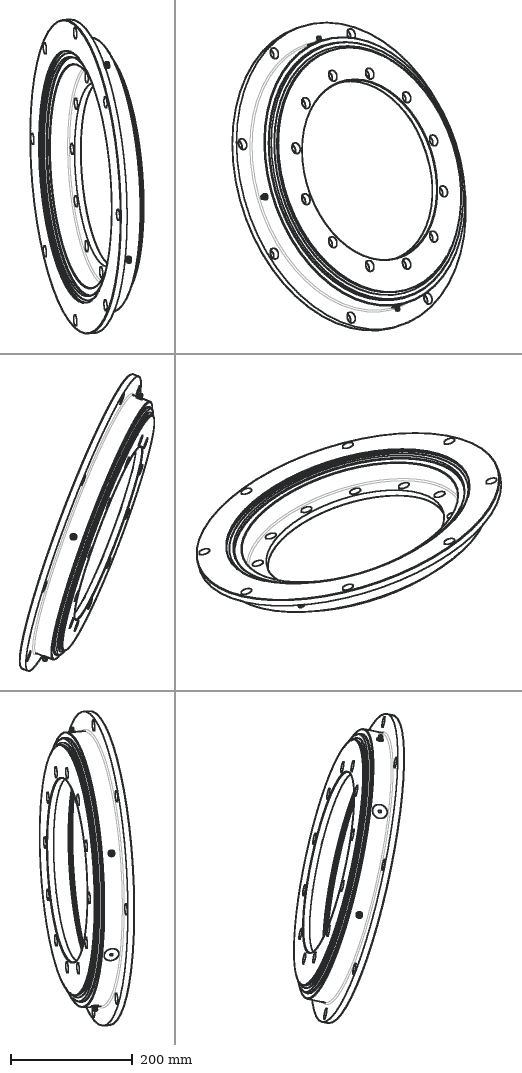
import cadquery as cq
import math

height = 56.0
flange_thickness = 11.5
body_end = height - flange_thickness
bend_radius = 2.5
edge_chamfer = 1.0
rim_chamfer = 0.5

gap_radius = 207.0
running_gap = 1.0

outer_flange_radius = 259.0
outer_body_radius = 227.0
outer_bolt_radius = 245.0
outer_bolt_count = 8

inner_bore_radius = 152.0
inner_body_radius = 184.5
inner_bolt_radius = 166.5
inner_bolt_count = 12

bolt_hole_diameter = 18.0

neck_depth = 2.0
rim_length = 3.0

seal_height = 5.0
seal_lip_height = 6.0
seal_reach = 11.0
seal_lip_reach = 3.0
seal_corner_width = 1.5
seal_corner_drop = 3.0

fitting_height = 28.0
plug_angle = 202.5
plug_diameter = 25.0
plug_length = 15.5
screw_diameter = 4.5
screw_length = 8.0

first_nipple_angle = 67.5
nipple_count = 4
nipple_shank_length = 8.0
nipple_neck_diameter = 4.5
nipple_base_diameter = 10.5
nipple_base_height = 1.5
nipple_seat_depth = 0.5
nipple_head_diameter = 6.5
nipple_head_start = 4.0
nipple_head_length = 4.5
nipple_tip_taper = 1.5


def revolve_about_y(outline):
    """Revolve a closed outline, drawn with X as radius, about the Y axis."""
    solid = cq.Solid.revolve(outline, [], 360, cq.Vector(0, 0, 0), cq.Vector(0, 1, 0))
    return cq.Workplane(solid)


def turn_over(outline):
    """Turn an outline half a turn about the middle of the running gap."""
    pivot = (gap_radius, height / 2, 0)
    pivot_end = (gap_radius, height / 2, 1)
    return outline.rotate(pivot, pivot_end, 180)


def turn_over_radius(radius):
    return 2 * gap_radius - radius


def ring_outline(flange_radius, body_radius):
    """Outline of a ring with an outward flange at the front and the running gap on its inner side."""
    bore = gap_radius + running_gap / 2
    neck = gap_radius + neck_depth
    return (
        cq.Workplane("XY")
        .moveTo(bore + rim_chamfer, 0)
        .lineTo(flange_radius - edge_chamfer, 0)
        .lineTo(flange_radius, edge_chamfer)
        .lineTo(flange_radius, flange_thickness)
        .lineTo(body_radius + bend_radius, flange_thickness)
        .radiusArc((body_radius, flange_thickness + bend_radius), bend_radius)
        .lineTo(body_radius, body_end - edge_chamfer)
        .lineTo(body_radius - edge_chamfer, body_end)
        .lineTo(bore, body_end)
        .lineTo(bore, flange_thickness)
        .lineTo(neck, flange_thickness)
        .lineTo(neck, rim_length + neck_depth)
        .lineTo(bore, rim_length)
        .lineTo(bore, rim_chamfer)
        .close()
        .val()
    )


def seal_outline():
    """Outline of the seal on the back of the outer ring, its lip touching the inner ring's neck."""
    neck = gap_radius - neck_depth
    lip_edge = gap_radius + seal_lip_reach
    outer_edge = gap_radius + seal_reach
    face = body_end + seal_height
    lip_face = body_end + seal_lip_height
    return (
        cq.Workplane("XY")
        .moveTo(neck, body_end)
        .lineTo(outer_edge, body_end)
        .lineTo(outer_edge, face - seal_corner_drop)
        .lineTo(outer_edge - seal_corner_width, face)
        .lineTo(lip_edge, face)
        .lineTo(lip_edge, lip_face)
        .lineTo(neck, lip_face)
        .close()
        .val()
    )


def bolt_holes(bolt_radius, count):
    return (
        cq.Workplane("XZ")
        .polarArray(bolt_radius, 0, 360, count)
        .circle(bolt_hole_diameter / 2)
        .extrude(-height)
    )


def radial_plane(angle, radius):
    """Plane at a radius from the ring axis, facing outward."""
    outward = cq.Vector(math.cos(math.radians(angle)), 0, math.sin(math.radians(angle)))
    origin = outward * radius + cq.Vector(0, fitting_height, 0)
    return cq.Workplane(cq.Plane(origin=origin, xDir=(0, 1, 0), normal=outward))


def flush_cylinder(angle, diameter, length):
    """Radial cylinder whose outer end follows the curved side of the outer ring."""
    cylinder = radial_plane(angle, outer_body_radius - length).circle(diameter / 2).extrude(2 * length)
    ring_envelope = cq.Workplane("XZ").circle(outer_body_radius).extrude(-height)
    return cylinder.intersect(ring_envelope)


def make_nipple(angle):
    """Shank and neck in one piece, with a flat base on the ring and a head with a tapered tip."""
    seat_radius = outer_body_radius - nipple_seat_depth
    neck = (
        radial_plane(angle, seat_radius - nipple_shank_length)
        .circle(nipple_neck_diameter / 2)
        .extrude(nipple_shank_length + nipple_head_start)
    )
    base = radial_plane(angle, seat_radius).circle(nipple_base_diameter / 2).extrude(nipple_base_height)
    head_plane = radial_plane(angle, seat_radius + nipple_head_start)
    head = (
        head_plane.circle(nipple_head_diameter / 2)
        .extrude(nipple_head_length)
        .faces(cq.selectors.DirectionMinMaxSelector(head_plane.plane.zDir, True))
        .chamfer(nipple_tip_taper)
    )
    return neck.union(base).union(head)


screw = flush_cylinder(plug_angle, screw_diameter, screw_length)
plug = flush_cylinder(plug_angle, plug_diameter, plug_length).cut(screw)
nipples = [
    make_nipple(first_nipple_angle + index * 360 / nipple_count)
    for index in range(nipple_count)
]

outer_ring = revolve_about_y(ring_outline(outer_flange_radius, outer_body_radius))
outer_ring = outer_ring.cut(bolt_holes(outer_bolt_radius, outer_bolt_count))
for fitting in [screw, plug, *nipples]:
    outer_ring = outer_ring.cut(fitting)

inner_ring_outline = turn_over(
    ring_outline(turn_over_radius(inner_bore_radius), turn_over_radius(inner_body_radius))
)
inner_ring = revolve_about_y(inner_ring_outline)
inner_ring = inner_ring.cut(bolt_holes(inner_bolt_radius, inner_bolt_count))

back_seal = revolve_about_y(seal_outline())
front_seal = revolve_about_y(turn_over(seal_outline()))

result = cq.Compound.makeCompound(
    [
        outer_ring.val(),
        inner_ring.val(),
        back_seal.val(),
        front_seal.val(),
        plug.val(),
        screw.val(),
        *[nipple.val() for nipple in nipples],
    ]
)